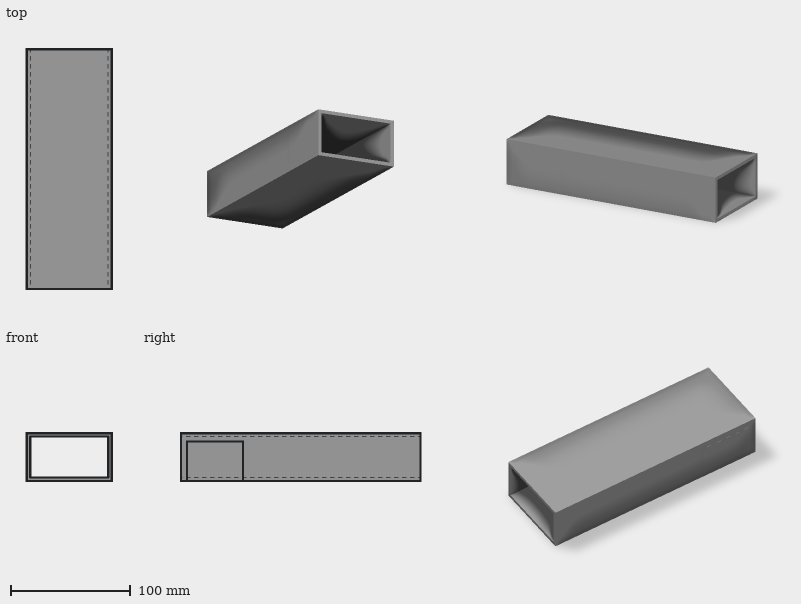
import cadquery as cq

tube_width = 71.0
tube_length = 200.0
tube_height = 40.0
wall = 3.0

pad_thickness = 0.1
pad_length = 47.0
pad_height = 33.0
pad_front_gap = 5.0


def make_tube():
    """Open-ended rectangular tube, from Y = 0 and resting on Z = 0."""
    outer = cq.Workplane("XY").box(tube_width, tube_length, tube_height, centered=(True, False, False))
    bore = (
        cq.Workplane("XY")
        .box(tube_width - 2 * wall, tube_length, tube_height - 2 * wall, centered=(True, False, False))
        .translate((0, 0, wall))
    )
    return outer.cut(bore)


def make_pad(side):
    """Raised pad on the side wall at +X (side = 1) or -X (side = -1)."""
    center_x = side * (tube_width + pad_thickness) / 2
    return (
        cq.Workplane("XY")
        .box(pad_thickness, pad_length, pad_height, centered=(True, False, False))
        .translate((center_x, pad_front_gap, 0))
    )


result = make_tube()
for side in (-1, 1):
    result = result.union(make_pad(side))